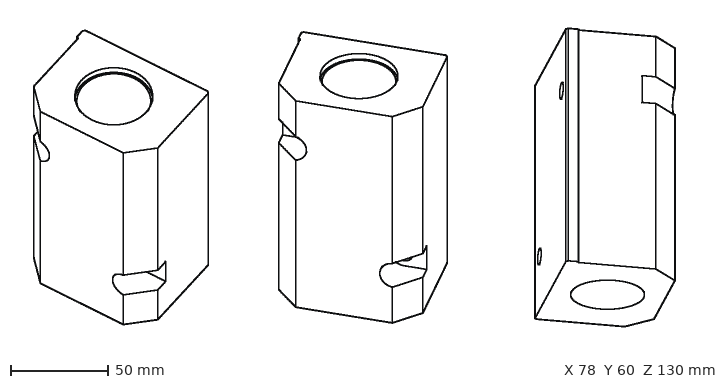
import cadquery as cq

width = 78.0
depth = 60.0
height = 130.0

front_chamfer = 12.7
back_chamfer = 1.0
lip_overhang = 1.0
lip_length = 6.5

bore_diameter = 38.0
recess_diameter = 40.0
recess_depth = 3.5

screw_diameter = 8.6
slot_width = 15.0
slot_depth = 20.0
screw_side_inset = 12.0
screw_end_inset = 30.0

right = width / 2
left = -right
back = depth / 2
front = -back
left_wall = left + lip_overhang


def block():
    outline = [
        (left + back_chamfer, back),
        (right - back_chamfer, back),
        (right, back - back_chamfer),
        (right, front + front_chamfer),
        (right - front_chamfer, front),
        (left_wall + front_chamfer, front),
        (left_wall, front + front_chamfer),
        (left_wall, back - lip_length),
        (left, back - lip_length),
        (left, back - back_chamfer),
    ]
    return cq.Workplane("XY").polyline(outline).close().extrude(height)


def bore():
    through = cq.Workplane("XY").circle(bore_diameter / 2).extrude(height)
    recess = (
        cq.Workplane("XY", origin=(0, 0, height - recess_depth))
        .circle(recess_diameter / 2)
        .extrude(recess_depth)
    )
    return through.union(recess)


def screw_seat(side, z):
    """Through hole along Y and a round-ended slot open to one side (-1 left, +1 right)."""
    x = side * (width / 2 - screw_side_inset)
    face = cq.Workplane("XZ", origin=(x, back, z))
    hole = face.circle(screw_diameter / 2).extrude(depth)
    slot_face = cq.Workplane("XZ", origin=(x, front + slot_depth, z))
    round_end = slot_face.circle(slot_width / 2).extrude(slot_depth)
    open_end = (
        slot_face.center(side * screw_side_inset / 2, 0)
        .rect(screw_side_inset, slot_width)
        .extrude(slot_depth)
    )
    return hole.union(round_end).union(open_end)


result = block().cut(bore())
for side, z in [(-1, height - screw_end_inset), (1, screw_end_inset)]:
    result = result.cut(screw_seat(side, z))